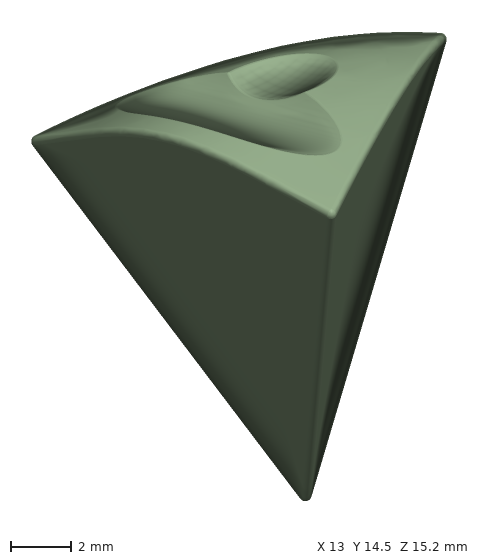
import cadquery as cq

BACK_RUN = 8.66
SIDE_RUN = 8.83
FRONT_RUN = 8.8
APEX_Z = -0.52
WEDGE_HEIGHT = 17.5

CROWN_Z = 15.22
CROWN_RADIUS = 35.0
CROWN_PROFILE = [(0.0, 0.0), (1.7, 0.17), (4.47, 1.0), (6.42, 1.7), (8.37, 2.44)]
CROWN_ANGLE = 50.0
CROWN_TURN = -CROWN_ANGLE / 2

TROUGH_RADIUS = 3.05
TROUGH_Y = -4.45
TROUGH_FLOOR_Z = 13.93
TROUGH_LENGTH = 15.22

DISH_ARC_RADIUS = 3.0
DISH_LENGTHWISE_RADIUS = 6.16
DISH_Y = -2.01
DISH_FLOOR_Z = 14.5

EDGE_FILLET = 0.21
RIM_FILLET = 0.12
RIM_ZONE_CORNERS = ((-4.87, -7.15, 12.94), (4.87, 1.83, 15.52))


def make_wedge():
    """Triangular pyramid standing on its apex."""
    apex = cq.Vector(0, 0, APEX_Z)
    corner_edges = [
        (0, BACK_RUN, WEDGE_HEIGHT),
        (-SIDE_RUN, -FRONT_RUN, WEDGE_HEIGHT),
        (SIDE_RUN, -FRONT_RUN, WEDGE_HEIGHT),
    ]
    corners = [apex + cq.Vector(*edge) for edge in corner_edges]
    outlines = [corners]
    for i in range(len(corners)):
        outlines.append([apex, corners[i], corners[(i + 1) % len(corners)]])
    faces = [cq.Face.makeFromWires(cq.Wire.makePolygon(o, close=True)) for o in outlines]
    return cq.Workplane(cq.Solid.makeSolid(cq.Shell.makeShell(faces)))


def make_crown():
    """Body bounded above by the doubly curved top surface."""
    right = [(x, CROWN_Z - drop) for x, drop in CROWN_PROFILE]
    left = [(-x, z) for x, z in reversed(right[1:])]
    half_width = right[-1][0]
    axis_z = CROWN_Z - CROWN_RADIUS
    profile = (
        cq.Workplane("XZ")
        .moveTo(*left[0])
        .spline(left[1:] + right, includeCurrent=True)
        .lineTo(half_width, axis_z)
        .lineTo(-half_width, axis_z)
        .close()
    )
    crown = profile.revolve(CROWN_ANGLE, (0, axis_z), (1, axis_z))
    return crown.rotate((0, 0, axis_z), (1, 0, axis_z), CROWN_TURN)


def make_trough():
    """Horizontal cylinder that cuts the wide oval hollow."""
    return (
        cq.Workplane("YZ")
        .center(TROUGH_Y, TROUGH_FLOOR_Z + TROUGH_RADIUS)
        .circle(TROUGH_RADIUS)
        .extrude(TROUGH_LENGTH / 2, both=True)
    )


def make_dish():
    """Torus whose lowest part cuts the egg-shaped hollow."""
    ring_radius = DISH_LENGTHWISE_RADIUS - DISH_ARC_RADIUS
    centre = cq.Vector(0, DISH_Y, DISH_FLOOR_Z + DISH_LENGTHWISE_RADIUS)
    return cq.Workplane(cq.Solid.makeTorus(ring_radius, DISH_ARC_RADIUS, centre, cq.Vector(1, 0, 0)))


wedge = make_wedge().intersect(make_crown()).edges().fillet(EDGE_FILLET)
hollowed = wedge.cut(make_trough()).cut(make_dish())

rim_zone = cq.selectors.BoxSelector(*RIM_ZONE_CORNERS)
result = hollowed.edges(rim_zone).fillet(RIM_FILLET)